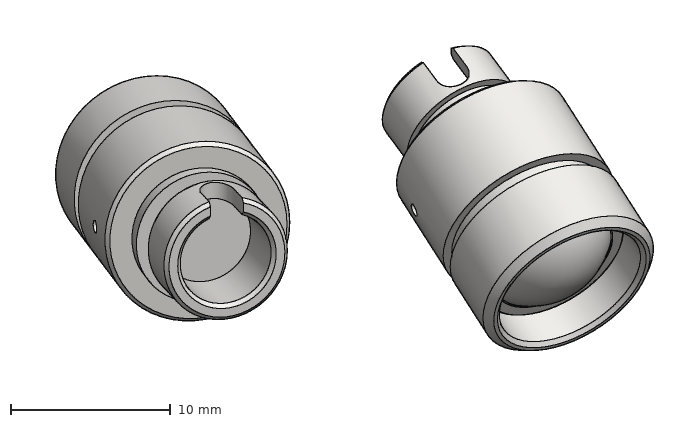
import cadquery as cq
import math

OVERALL_LENGTH = 17.99
BARREL_DIAMETER = 12.0
BARREL_R = BARREL_DIAMETER / 2
CAP_LENGTH = 5.02
CAP_CHAMFER = 0.5
CAP_BORE_R = 4.97
CAP_MOUTH_CHAMFER = 0.27

GROOVE_R = 5.4
GROOVE_END = 5.99
HOUSING_END = 12.68
HOUSING_CHAMFER = 0.25
COLLAR_R = 4.32
COLLAR_MID_END = 13.5

PIVOT_X = 10.0
PIVOT_HOLE_R = 0.4
PIVOT_HOLE_DEPTH = 0.72

RING_FRONT = 2.46
RING_CHAMFER = 0.15
LENS_R = 4.14
LENS_RIM = 0.09
LENS_EDGE_FRONT = 2.52
LENS_APEX = 0.54

TILT = 3.6
TILT_COS = math.cos(math.radians(TILT))
TILT_SIN = math.sin(math.radians(TILT))
NECK_R = 3.58
HEAD_R = 4.08
HEAD_CHAMFER = 0.25
TAIL_BORE_R = 3.0
NECK_START = (COLLAR_MID_END - PIVOT_X) * TILT_COS
HEAD_START = 4.45
TAIL_END = (OVERALL_LENGTH - PIVOT_X - (HEAD_R - HEAD_CHAMFER) * TILT_SIN) / TILT_COS
SLOT_START = 4.75
SLOT_WIDTH = 2.18


def turned(profile):
    """Revolve closed (axial position, radius) points about the X axis."""
    return cq.Workplane("XY").polyline(profile).close().revolve(360, (0, 0, 0), (1, 0, 0))


def tilted(shape):
    """Move a shape built along X from the origin onto the tilted tail axis."""
    return shape.rotate((0, 0, 0), (0, 0, 1), TILT).translate((PIVOT_X, 0, 0))


def make_cap():
    return turned([
        (0, CAP_BORE_R + CAP_MOUTH_CHAMFER),
        (0, BARREL_R - CAP_CHAMFER),
        (CAP_CHAMFER, BARREL_R),
        (CAP_LENGTH, BARREL_R),
        (CAP_LENGTH, CAP_BORE_R),
        (CAP_MOUTH_CHAMFER, CAP_BORE_R),
    ])


def make_lens_ring():
    return turned([
        (RING_FRONT, LENS_R),
        (RING_FRONT, CAP_BORE_R - RING_CHAMFER),
        (RING_FRONT + RING_CHAMFER, CAP_BORE_R),
        (CAP_LENGTH, CAP_BORE_R),
        (CAP_LENGTH, LENS_R),
    ])


def make_lens():
    """Plano-convex lens with a spherical dome facing -X."""
    dome_r = LENS_R - LENS_RIM
    sag = LENS_EDGE_FRONT - LENS_APEX
    sphere_r = (dome_r**2 + sag**2) / (2 * sag)
    half_angle = math.asin(dome_r / sphere_r) / 2
    arc_mid = (
        LENS_APEX + sphere_r * (1 - math.cos(half_angle)),
        sphere_r * math.sin(half_angle),
    )
    return (
        cq.Workplane("XY")
        .moveTo(LENS_APEX, 0)
        .threePointArc(arc_mid, (LENS_EDGE_FRONT, dome_r))
        .lineTo(LENS_EDGE_FRONT, LENS_R)
        .lineTo(CAP_LENGTH, LENS_R)
        .lineTo(CAP_LENGTH, 0)
        .close()
        .revolve(360, (0, 0, 0), (1, 0, 0))
    )


def make_housing():
    collar_stock_end = HOUSING_END + 2 * (COLLAR_MID_END - HOUSING_END)
    housing = turned([
        (CAP_LENGTH, 0),
        (CAP_LENGTH, GROOVE_R),
        (GROOVE_END, GROOVE_R),
        (GROOVE_END, BARREL_R),
        (HOUSING_END - HOUSING_CHAMFER, BARREL_R),
        (HOUSING_END, BARREL_R - HOUSING_CHAMFER),
        (HOUSING_END, COLLAR_R),
        (collar_stock_end, COLLAR_R),
        (collar_stock_end, 0),
    ])

    beyond_collar = turned([(NECK_START, 0), (NECK_START, BARREL_R), (TAIL_END, BARREL_R), (TAIL_END, 0)])
    housing = housing.cut(tilted(beyond_collar))

    for side in (-1, 1):
        hole = cq.Solid.makeCylinder(
            PIVOT_HOLE_R,
            PIVOT_HOLE_DEPTH,
            cq.Vector(PIVOT_X, side * BARREL_R, 0),
            cq.Vector(0, -side, 0),
        )
        housing = housing.cut(cq.Workplane(hole))
    return housing


def make_tail():
    tail = turned([
        (NECK_START, TAIL_BORE_R),
        (NECK_START, NECK_R),
        (HEAD_START, NECK_R),
        (HEAD_START, HEAD_R),
        (TAIL_END - HEAD_CHAMFER, HEAD_R),
        (TAIL_END, HEAD_R - HEAD_CHAMFER),
        (TAIL_END, TAIL_BORE_R + HEAD_CHAMFER),
        (TAIL_END - HEAD_CHAMFER, TAIL_BORE_R),
    ])

    slot_r = SLOT_WIDTH / 2
    slot_centre = SLOT_START + slot_r
    slot_length = TAIL_END - slot_centre
    round_end = cq.Workplane("XY").center(slot_centre, 0).circle(slot_r).extrude(HEAD_R)
    straight = (
        cq.Workplane("XY")
        .center(slot_centre + slot_length / 2, 0)
        .rect(slot_length, SLOT_WIDTH)
        .extrude(HEAD_R)
    )
    return tilted(tail.cut(round_end).cut(straight))


cap = make_cap()
lens_ring = make_lens_ring()
lens = make_lens()
housing = make_housing()
tail = make_tail()

result = cq.Compound.makeCompound([
    cap.val(),
    lens_ring.val(),
    lens.val(),
    housing.val(),
    tail.val(),
])